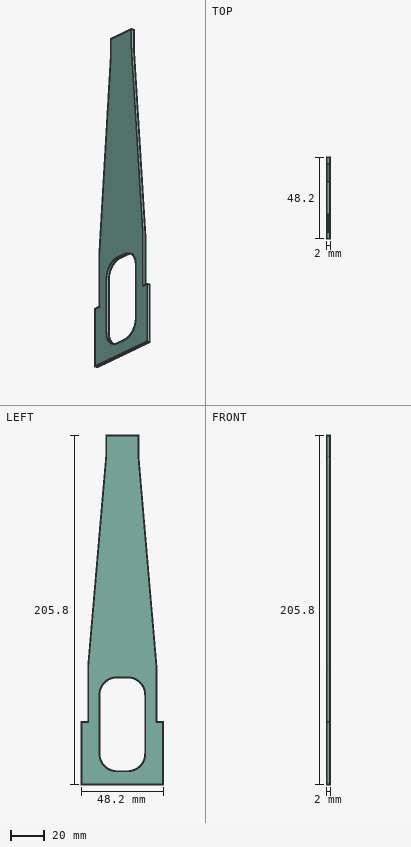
import cadquery as cq

thickness = 2.0
height = 205.8

base_width = 48.2
base_height = 37.0
body_width = 40.3
taper_start = 70.0
tip_width = 19.1
tip_length = 12.3

window_width = 26.8
window_bottom = 8.0
window_height = 55.2
window_radius = 10.0


def make_plate():
    """Stepped base, straight body, taper and narrow tip, symmetric about Y = 0."""
    right_side = [
        (base_width / 2, 0),
        (base_width / 2, base_height),
        (body_width / 2, base_height),
        (body_width / 2, taper_start),
        (tip_width / 2, height - tip_length),
        (tip_width / 2, height),
    ]
    left_side = [(-y, z) for y, z in reversed(right_side)]
    return cq.Workplane("YZ").polyline(right_side + left_side).close().extrude(thickness)


def make_window():
    """Cutter for the rounded opening through the thickness."""
    return (
        cq.Workplane("YZ")
        .center(0, window_bottom + window_height / 2)
        .rect(window_width, window_height)
        .extrude(thickness)
        .edges("|X")
        .fillet(window_radius)
    )


result = make_plate().cut(make_window())